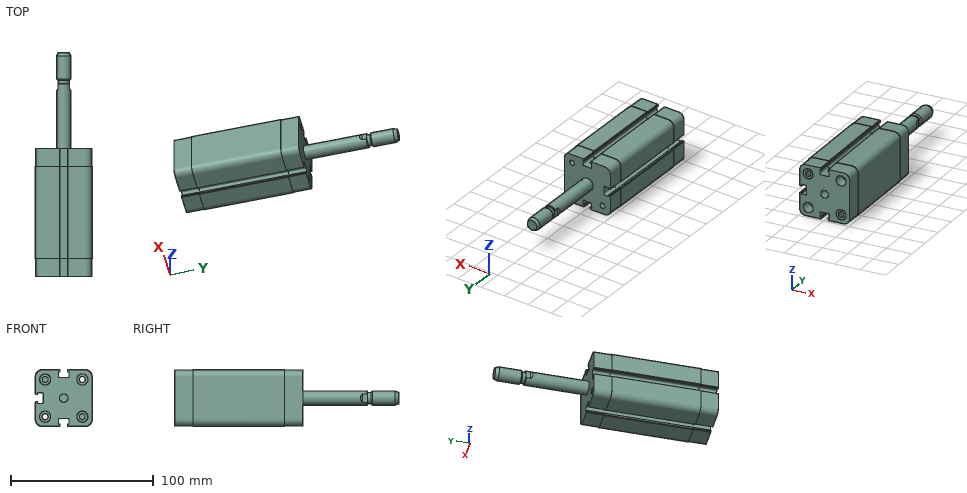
import cadquery as cq

total_length = 157.0
housing_length = 89.8
cap_length = 12.7
profile_size = 40.0
cap_size = 39.4
corner_center = 14.9

slot_opening = 5.0
slot_width = 7.2
slot_floor = 14.5
cap_slot_floor = 14.3
slot_lip_floor = 18.2
slot_mouth_chamfer = 0.5
slot_floor_radius = 0.6

hole_offset = 13.0
through_diameter = 4.1
counterbore_diameter = 7.8
counterbore_depth = 9.4
screw_head_diameter = 7.5
screw_seat_diameter = 7.8
screw_head_height = 5.0
socket_across_flats = 4.0
socket_depth = 2.4
center_hole_diameter = 6.0
center_hole_depth = 12.5

rod_diameter = 10.0
tip_diameter = 8.0
tip_length = 2.5
neck_diameter = 8.0
thread_end = 18.5
neck_start = 19.5
neck_end = 21.8
shoulder_chamfer = 0.3
flat_end = 25.3
flat_runout = 1.5
flat_across = 8.2


def rounded_bar(size, start, length):
    """Square bar along +Y with rounded long edges."""
    radius = size / 2 - corner_center
    bar = cq.Workplane("XZ", origin=(0, start, 0)).rect(size, size).extrude(-length)
    return bar.edges("|Y").fillet(radius)


def front_cylinder(x, z, diameter, depth):
    """Cylinder from the front face into the housing."""
    return cq.Workplane("XZ").center(x, z).circle(diameter / 2).extrude(-depth)


def t_slot(half_size, floor, start, length):
    """T-slot cutter along +Y for the +Z side, its mouth chamfered at height half_size."""
    half_opening = slot_opening / 2
    half_width = slot_width / 2
    half_mouth = half_opening + slot_mouth_chamfer
    mouth = (
        cq.Workplane("XZ", origin=(0, start, 0))
        .moveTo(-half_mouth, half_size)
        .lineTo(-half_opening, half_size - slot_mouth_chamfer)
        .lineTo(-half_opening, floor)
        .lineTo(half_opening, floor)
        .lineTo(half_opening, half_size - slot_mouth_chamfer)
        .lineTo(half_mouth, half_size)
        .close()
        .extrude(-length)
    )
    undercut = (
        cq.Workplane("XY", origin=(-half_width, start, floor))
        .box(slot_width, length, slot_lip_floor - floor, centered=False)
        .edges("|Y and <Z")
        .fillet(slot_floor_radius)
    )
    return mouth.union(undercut)


def piston_rod():
    """Turned rod with tapered tip, undercut neck and two wrench flats."""
    radius = rod_diameter / 2
    neck_radius = neck_diameter / 2
    rod = (
        cq.Workplane("XY")
        .moveTo(0, housing_length - cap_length)
        .lineTo(radius, housing_length - cap_length)
        .lineTo(radius, total_length - neck_end - shoulder_chamfer)
        .lineTo(radius - shoulder_chamfer, total_length - neck_end)
        .lineTo(neck_radius, total_length - neck_end)
        .lineTo(neck_radius, total_length - neck_start)
        .lineTo(radius, total_length - thread_end)
        .lineTo(radius, total_length - tip_length)
        .lineTo(tip_diameter / 2, total_length)
        .lineTo(0, total_length)
        .close()
        .revolve(360, (0, 0, 0), (0, 1, 0))
    )
    half_across = flat_across / 2
    flat = (
        cq.Workplane("XY", origin=(0, 0, -radius))
        .moveTo(half_across, total_length - neck_end)
        .lineTo(half_across, total_length - flat_end)
        .lineTo(radius, total_length - flat_end - flat_runout)
        .lineTo(radius, total_length - neck_end)
        .close()
        .extrude(rod_diameter)
    )
    return rod.cut(flat).cut(flat.mirror("YZ"))


def slotted_section(size, floor, start, length):
    """One length of the housing with T-slots on +Z, -Z and -X."""
    section = rounded_bar(size, start, length)
    slot = t_slot(size / 2, floor, start, length)
    for angle in (0, 180, -90):
        section = section.cut(slot.rotate((0, 0, 0), (0, 1, 0), angle))
    return section


def socket_screw_cut(x, z):
    """Gap around a flush screw head and the hexagon socket in its face."""
    seat = front_cylinder(x, z, screw_seat_diameter, screw_head_height)
    head = front_cylinder(x, z, screw_head_diameter, screw_head_height)
    socket = (
        cq.Workplane("XZ", origin=(x, 0, z))
        .polygon(6, socket_across_flats, circumscribed=True)
        .extrude(-socket_depth)
    )
    return seat.cut(head).union(socket)


body_length = housing_length - 2 * cap_length
housing = slotted_section(profile_size, slot_floor, cap_length, body_length)
for cap_start in (0, housing_length - cap_length):
    housing = housing.union(slotted_section(cap_size, cap_slot_floor, cap_start, cap_length))

for offset in (-hole_offset, hole_offset):
    housing = housing.cut(front_cylinder(offset, offset, counterbore_diameter, counterbore_depth))
    housing = housing.cut(front_cylinder(offset, offset, through_diameter, housing_length))
    housing = housing.cut(socket_screw_cut(offset, -offset))

housing = housing.cut(front_cylinder(0, 0, center_hole_diameter, center_hole_depth))

result = housing.union(piston_rod())